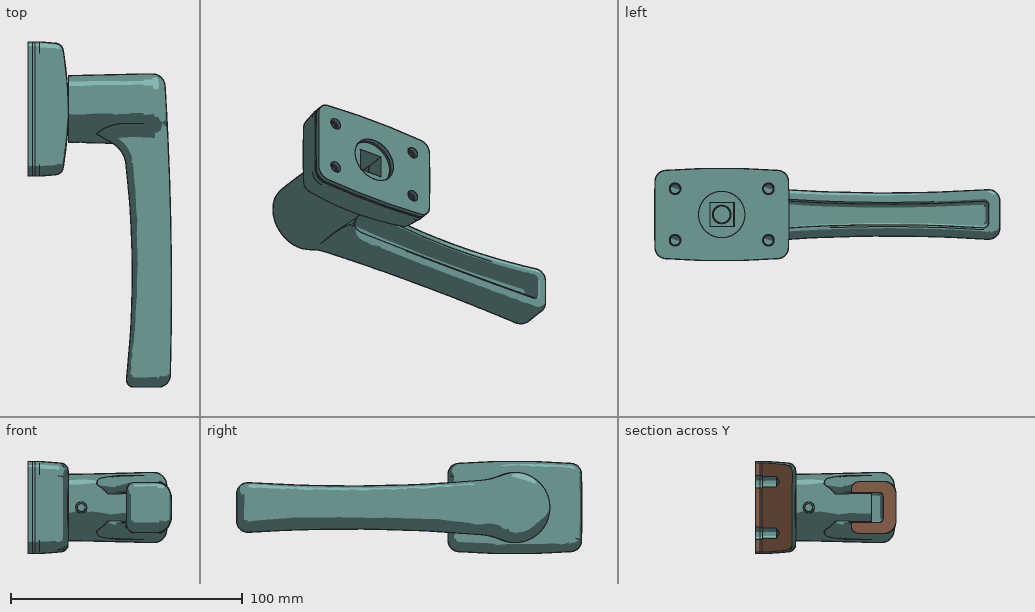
import cadquery as cq
import math


PLATE_LENGTH = 58.0
PLATE_HEIGHT = 40.0
CORNER_LENGTH = 57.4
CORNER_HEIGHT = 37.4
CORNER_RADIUS = 5.0
PLATE_THICKNESS = 2.0
SEAL_THICKNESS = 1.0
SEAL_EDGE_RADIUS = 0.3
ROSETTE_BACK = PLATE_THICKNESS + SEAL_THICKNESS
RIM_WIDTH = 2.0
ROSETTE_DRAFT = 5.0
ROSETTE_FRONT = 17.4
ROSETTE_CROWN_RADIUS = 150.0
ROSETTE_EDGE_RADIUS = 3.5

HOLE_PITCH_Y = 40.2
HOLE_PITCH_Z = 22.2
CLEARANCE_DIAMETER = 5.0
PILOT_DIAMETER = 4.2
PILOT_DEPTH = 6.0
PILOT_TIP_ANGLE = 118.0

SPIGOT_DIAMETER = 20.0
NECK_RADIUS = 14.4
HEAD_RADIUS = 15.15
HEAD_X = 50.0

TIP_Y = -119.94
OUTER_CREST_X = 61.94
OUTER_CREST_Y = -78.0
OUTER_RADIUS = 1400.0
INNER_CREST_X = 45.0
WAIST_Y = -71.0
INNER_RADIUS = 400.0
WAIST_HALF_WIDTH = 9.3
SIDE_RADIUS = 660.0
OUTER_EDGE_RADIUS = 5.4
INNER_EDGE_RADIUS = 3.3
TIP_CORNER_RADIUS = 5.0

SIDE_BLEND_RADIUS = 24.0
ROOT_BLEND_RADIUS = 12.0
ROOT_BLEND_Y = -25.0
ROOT_BLEND_END = 60.0
WING_START_X = 29.5
WING_FULL_X = 41.5

TROUGH_FLOOR_X = 55.0
TROUGH_TOP_Y = -13.3
TROUGH_WALL = 4.9
TROUGH_CORNER_RADIUS = 2.0
TROUGH_FLOOR_RADIUS = 1.9
LIP_RADIUS = 0.8

SQUARE_SIZE = 10.2
SQUARE_END_X = 32.0
RELIEF_STEP = 0.35
RELIEF_END_X = 12.0
BORE_START_RADIUS = 4.0
BORE_END_RADIUS = 3.65
BORE_END_X = 40.0

SET_SCREW_X = 23.0
SET_SCREW_DIAMETER = 4.8
SET_SCREW_CHAMFER = 0.7
SET_SCREW_OUTER_Y = -14.25

REACH = 80.0
MARGIN = 1.0



def draw_plate_outline(plane, inset=0.0):
    """Rectangle with bowed sides and sharp corners, in a YZ plane."""
    y_corner = CORNER_LENGTH / 2 - inset
    z_corner = CORNER_HEIGHT / 2 - inset
    y_middle = PLATE_LENGTH / 2 - inset
    z_middle = PLATE_HEIGHT / 2 - inset
    return (
        plane.moveTo(-y_corner, -z_corner)
        .threePointArc((0, -z_middle), (y_corner, -z_corner))
        .threePointArc((y_middle, 0), (y_corner, z_corner))
        .threePointArc((0, z_middle), (-y_corner, z_corner))
        .threePointArc((-y_middle, 0), (-y_corner, -z_corner))
        .close()
    )


def yz_plane(x):
    return cq.Workplane("YZ", origin=(x, 0, 0))


def make_layer(x, thickness):
    layer = draw_plate_outline(yz_plane(x)).extrude(thickness)
    return layer.edges("|X").fillet(CORNER_RADIUS)


def make_x_cylinder(diameter, start, end):
    return yz_plane(start).circle(diameter / 2).extrude(end - start)


def cut_layer_holes(layer):
    clearance = (
        yz_plane(0)
        .rarray(HOLE_PITCH_Y, HOLE_PITCH_Z, 2, 2)
        .circle(CLEARANCE_DIAMETER / 2)
        .extrude(ROSETTE_BACK)
    )
    return layer.cut(clearance).cut(make_x_cylinder(SPIGOT_DIAMETER, 0, ROSETTE_BACK))


def make_base_plate():
    return cut_layer_holes(make_layer(0, PLATE_THICKNESS))


def make_seal():
    seal = make_layer(PLATE_THICKNESS, SEAL_THICKNESS)
    seal = seal.faces("<X or >X").edges().fillet(SEAL_EDGE_RADIUS)
    return cut_layer_holes(seal)


def make_pilot_hole(y, z):
    """Blind hole with a drill point, starting at the back of the rosette."""
    radius = PILOT_DIAMETER / 2
    tip = radius / math.tan(math.radians(PILOT_TIP_ANGLE / 2))
    return (
        cq.Workplane("XY", origin=(ROSETTE_BACK, y, z))
        .polyline([(0, 0), (PILOT_DEPTH + tip, 0), (PILOT_DEPTH, radius), (0, radius)])
        .close()
        .revolve(360, (0, 0, 0), (1, 0, 0))
    )


def make_rosette():
    draft_start = ROSETTE_BACK + RIM_WIDTH
    draft_height = ROSETTE_FRONT - draft_start + MARGIN
    inset = draft_height * math.tan(math.radians(ROSETTE_DRAFT))
    cap = draw_plate_outline(yz_plane(draft_start)).workplane(offset=draft_height)
    cap = draw_plate_outline(cap, inset).loft(ruled=True)
    cap = cap.edges("not #X").edges("not(<X or >X)").fillet(CORNER_RADIUS)

    crown = (
        cq.Workplane("XY", origin=(ROSETTE_FRONT - ROSETTE_CROWN_RADIUS, 0, 0))
        .circle(ROSETTE_CROWN_RADIUS)
        .extrude(REACH, both=True)
    )
    cap = cap.intersect(crown).faces(">X").edges().fillet(ROSETTE_EDGE_RADIUS)

    rosette = make_layer(ROSETTE_BACK, RIM_WIDTH).union(cap)
    rosette = rosette.cut(make_x_cylinder(SPIGOT_DIAMETER, ROSETTE_BACK, ROSETTE_FRONT))
    for y in (-HOLE_PITCH_Y / 2, HOLE_PITCH_Y / 2):
        for z in (-HOLE_PITCH_Z / 2, HOLE_PITCH_Z / 2):
            rosette = rosette.cut(make_pilot_hole(y, z))
    return rosette



def point_on_circle(center, radius, angle):
    return (center[0] + radius * math.cos(angle), center[1] + radius * math.sin(angle))


def angle_from(center, point):
    return math.atan2(point[1] - center[1], point[0] - center[0])


def side_half_width(y):
    """Half width of the waisted grip at the given Y."""
    return WAIST_HALF_WIDTH + SIDE_RADIUS - math.sqrt(SIDE_RADIUS**2 - (y - WAIST_Y) ** 2)


def side_blend_points():
    """Head end, middle and grip end, in (Y, Z), of the arc tangent to the head and the grip side."""
    side_center = (WAIST_Y, WAIST_HALF_WIDTH + SIDE_RADIUS)
    to_head = HEAD_RADIUS + SIDE_BLEND_RADIUS
    to_side = SIDE_RADIUS - SIDE_BLEND_RADIUS
    centers_apart = math.hypot(*side_center)
    along = (to_head**2 - to_side**2 + centers_apart**2) / (2 * centers_apart)
    direction = math.atan2(side_center[1], side_center[0]) + math.acos(along / to_head)
    center = point_on_circle((0, 0), to_head, direction)

    head_end = point_on_circle((0, 0), HEAD_RADIUS, direction)
    grip_end = point_on_circle(center, SIDE_BLEND_RADIUS, angle_from(side_center, center))
    chord_middle = ((head_end[0] + grip_end[0]) / 2, (head_end[1] + grip_end[1]) / 2)
    middle = point_on_circle(center, SIDE_BLEND_RADIUS, angle_from(center, chord_middle))
    return head_end, middle, grip_end


def mirror_z(point):
    return (point[0], -point[1])


def make_grip_plan():
    """Round head, blends and waisted grip as one outline, extruded along X."""
    head_end, middle, grip_end = side_blend_points()
    tip = (TIP_Y, side_half_width(TIP_Y))
    waist = (WAIST_Y, WAIST_HALF_WIDTH)
    return (
        yz_plane(0)
        .moveTo(*mirror_z(tip))
        .threePointArc(mirror_z(waist), mirror_z(grip_end))
        .threePointArc(mirror_z(middle), mirror_z(head_end))
        .threePointArc((HEAD_RADIUS, 0), head_end)
        .threePointArc(middle, grip_end)
        .threePointArc(waist, tip)
        .close()
        .extrude(REACH)
    )


def make_inner_void():
    """Space on the -X side of the grip and of the blend at its root."""
    inner_center = (INNER_CREST_X - INNER_RADIUS, WAIST_Y)
    to_blend = INNER_RADIUS - ROOT_BLEND_RADIUS
    start_angle = math.asin((ROOT_BLEND_Y - WAIST_Y) / to_blend)
    end_angle = math.radians(ROOT_BLEND_END)
    center = point_on_circle(inner_center, to_blend, start_angle)
    blend_start = point_on_circle(center, ROOT_BLEND_RADIUS, start_angle)
    blend_middle = point_on_circle(center, ROOT_BLEND_RADIUS, (start_angle + end_angle) / 2)
    blend_end = point_on_circle(center, ROOT_BLEND_RADIUS, end_angle)
    wing_tip = (WING_START_X, blend_end[1] + (blend_end[0] - WING_START_X) / math.tan(end_angle))

    below_tip = TIP_Y - MARGIN
    inner_end_x = inner_center[0] + math.sqrt(INNER_RADIUS**2 - (below_tip - WAIST_Y) ** 2)
    wing_y = side_blend_points()[0][0]
    return (
        cq.Workplane("XY")
        .moveTo(0, HEAD_RADIUS + MARGIN)
        .lineTo(HEAD_X, HEAD_RADIUS + MARGIN)
        .lineTo(HEAD_X, wing_y)
        .lineTo(WING_FULL_X, wing_y)
        .tangentArcPoint(wing_tip, relative=False)
        .lineTo(*blend_end)
        .threePointArc(blend_middle, blend_start)
        .threePointArc((INNER_CREST_X, WAIST_Y), (inner_end_x, below_tip))
        .lineTo(0, below_tip)
        .close()
        .extrude(REACH, both=True)
    )


def is_inner_rim(edge):
    """Edge along the -X side of the grip, its tip or the blend at its root."""
    box = edge.BoundingBox()
    on_one_side = box.zmin * box.zmax > 0
    at_tip = box.ymax < TIP_Y + MARGIN
    below_wing = edge.Center().y < side_blend_points()[0][0] - INNER_EDGE_RADIUS
    return box.xmax < INNER_CREST_X + MARGIN and below_wing and (on_one_side or at_tip)


def make_trough():
    end_y = TIP_Y + TROUGH_WALL
    end_width = side_half_width(end_y) - TROUGH_WALL
    waist_width = WAIST_HALF_WIDTH - TROUGH_WALL
    top_width = side_half_width(TROUGH_TOP_Y) - TROUGH_WALL
    trough = (
        cq.Workplane("YZ", origin=(TROUGH_FLOOR_X, 0, 0))
        .moveTo(end_y, -end_width)
        .threePointArc((WAIST_Y, -waist_width), (TROUGH_TOP_Y, -top_width))
        .lineTo(TROUGH_TOP_Y, top_width)
        .threePointArc((WAIST_Y, waist_width), (end_y, end_width))
        .close()
        .extrude(WING_START_X - TROUGH_FLOOR_X)
    )
    trough = trough.edges("|X").fillet(TROUGH_CORNER_RADIUS)
    return trough.faces(">X").edges().fillet(TROUGH_FLOOR_RADIUS)


def is_trough_lip(edge):
    box = edge.BoundingBox()
    trough_reach = side_half_width(TIP_Y) - TROUGH_WALL
    inside_walls = max(-box.zmin, box.zmax) < trough_reach + LIP_RADIUS / 2
    past_tip_wall = box.ymin > TIP_Y + TROUGH_WALL - LIP_RADIUS / 2
    return box.xmax < INNER_CREST_X + MARGIN and box.ymax < TROUGH_TOP_Y and inside_walls and past_tip_wall


def make_grip():
    outer_limit = (
        cq.Workplane("XY", origin=(OUTER_CREST_X - OUTER_RADIUS, OUTER_CREST_Y, 0))
        .circle(OUTER_RADIUS)
        .extrude(REACH, both=True)
    )
    grip = make_grip_plan().cut(make_inner_void()).intersect(outer_limit)
    grip = grip.faces("<Y").edges("|X").fillet(TIP_CORNER_RADIUS)

    outer_rim = [edge for edge in grip.edges().vals() if edge.BoundingBox().xmin > HEAD_X + MARGIN]
    grip = grip.newObject(outer_rim).fillet(OUTER_EDGE_RADIUS)
    inner_rim = [edge for edge in grip.edges().vals() if is_inner_rim(edge)]
    grip = grip.newObject(inner_rim).fillet(INNER_EDGE_RADIUS)

    grip = grip.cut(make_trough())
    lip = [edge for edge in grip.edges().vals() if is_trough_lip(edge)]
    return grip.newObject(lip).fillet(LIP_RADIUS)


def make_neck():
    cone = (
        yz_plane(ROSETTE_FRONT)
        .circle(NECK_RADIUS)
        .workplane(offset=HEAD_X - ROSETTE_FRONT)
        .circle(HEAD_RADIUS)
        .loft()
    )
    return cone.union(make_x_cylinder(SPIGOT_DIAMETER, ROSETTE_BACK, ROSETTE_FRONT))


def make_socket():
    """Square spindle hole with a mouth relief and a tapered blind bore behind it."""
    square = yz_plane(ROSETTE_BACK).rect(SQUARE_SIZE, SQUARE_SIZE).extrude(SQUARE_END_X - ROSETTE_BACK)
    relief = (
        yz_plane(ROSETTE_BACK)
        .center(-RELIEF_STEP / 2, 0)
        .rect(SQUARE_SIZE + RELIEF_STEP, SQUARE_SIZE)
        .extrude(RELIEF_END_X - ROSETTE_BACK)
    )
    bore = (
        yz_plane(SQUARE_END_X)
        .circle(BORE_START_RADIUS)
        .workplane(offset=BORE_END_X - SQUARE_END_X)
        .circle(BORE_END_RADIUS)
        .loft()
    )
    return square.union(relief).union(bore)


def make_set_screw_cylinder(outer_y):
    """Cylinder from the given Y in to the -Y wall of the spindle socket."""
    length = -SQUARE_SIZE / 2 - outer_y
    return (
        cq.Workplane("XZ", origin=(SET_SCREW_X, outer_y, 0))
        .circle(SET_SCREW_DIAMETER / 2)
        .extrude(-length)
    )


def make_lever():
    lever = make_grip().union(make_neck())
    return lever.cut(make_socket()).cut(make_set_screw_cylinder(-HEAD_RADIUS))



def make_set_screw():
    return make_set_screw_cylinder(SET_SCREW_OUTER_Y).faces("<Y").chamfer(SET_SCREW_CHAMFER)


base_plate = make_base_plate()
seal = make_seal()
rosette = make_rosette()
lever = make_lever()
set_screw = make_set_screw()

result = cq.Compound.makeCompound([
    base_plate.solids().val(),
    seal.solids().val(),
    rosette.solids().val(),
    lever.solids().val(),
    set_screw.solids().val(),
])